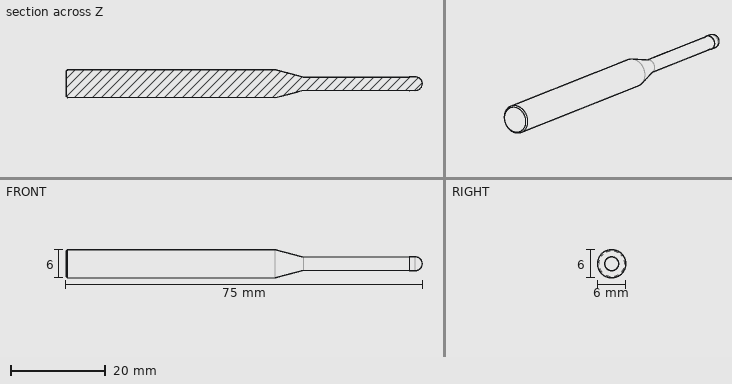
import cadquery as cq

total_length = 75.0
shank_diameter = 6.0
ball_diameter = 3.0
neck_diameter = 2.85
shank_length = 44.0
taper_length = 5.9
head_length = 2.7
end_chamfer = 0.3

shank_radius = shank_diameter / 2
ball_radius = ball_diameter / 2
neck_radius = neck_diameter / 2

back_x = -total_length / 2
tip_x = total_length / 2
taper_start_x = back_x + shank_length
neck_start_x = taper_start_x + taper_length
head_start_x = tip_x - head_length
ball_center_x = tip_x - ball_radius
arc_offset = ball_radius * 2 ** -0.5

profile = (
    cq.Workplane("XY")
    .moveTo(back_x, 0)
    .lineTo(back_x, shank_radius - end_chamfer)
    .lineTo(back_x + end_chamfer, shank_radius)
    .lineTo(taper_start_x, shank_radius)
    .lineTo(neck_start_x, neck_radius)
    .lineTo(head_start_x, neck_radius)
    .lineTo(head_start_x, ball_radius)
    .lineTo(ball_center_x, ball_radius)
    .threePointArc((ball_center_x + arc_offset, arc_offset), (tip_x, 0))
    .close()
)

result = profile.revolve(360, (0, 0, 0), (1, 0, 0))